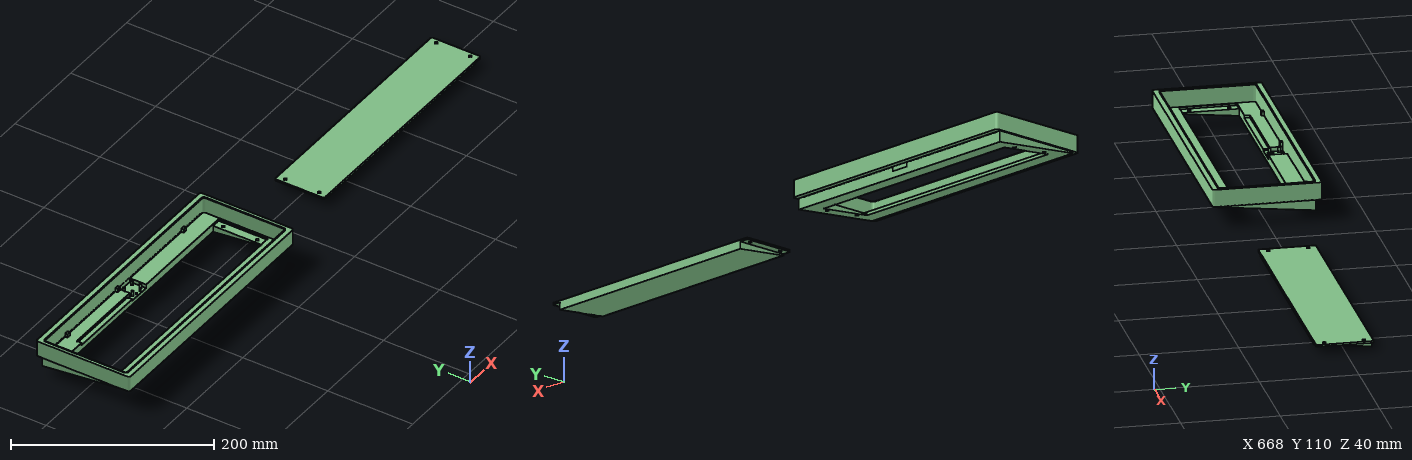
import cadquery as cq
import math

tray_length = 294.0
tray_width = 110.0
wall_height = 18.0
corner_radius = 3.0

side_rim = 4.0
long_rim = 6.0
rim_step_width = 1.0
rim_step_depth = 0.3

wedge_slope = math.tan(math.radians(6))
wedge_front_depth = 1.5
wedge_side_inset = 2.0
wedge_end_inset = 6.0

opening_length = 260.5
opening_width = 58.0
ledge_length = 10.0
ledge_depth = 2.0

screw_hole_diameter = 3.0
screw_spacing_y = 40.0
screw_edge_distance = 5.5

tab_length = 5.0
tab_reach = 3.0
tab_height = 4.0
back_tab_xs = (44.0, 133.5, 252.0)
front_tab_xs = (57.0, 238.0)

pocket_left_x = 137.0
pocket_right_x = 157.5
pocket_depth = 4.35
recess_left_x = 133.0
channel_left_x = 42.0
channel_back_y = 35.0
channel_depth = 3.0

peg_diameter = 2.5
peg_height = 5.5
peg_spacing_x = 15.0
peg_spacing_y = 10.0
peg_centre_y = 39.0
pin_diameter = 1.6
pin_height = 1.5
pin_spacing_x = 6.3
pin_y = 31.5

cover_right_x = 668.0
overall_height = 40.0
cover_corner_radius = 2.0

tray_centre_x = tray_length / 2
side_wall = side_rim + rim_step_width
long_wall = long_rim + rim_step_width
inner_wall_y = tray_width / 2 - long_wall
wedge_length = tray_length - 2 * wedge_side_inset
wedge_end_y = tray_width / 2 - wedge_end_inset
cover_front_thickness = wedge_front_depth + (wedge_end_y - opening_width / 2) * wedge_slope
cover_back_thickness = cover_front_thickness + opening_width * wedge_slope
cover_top_z = wall_height - overall_height + cover_back_thickness
cover_length = opening_length + 2 * ledge_length
cover_centre_x = cover_right_x - cover_length / 2
pocket_centre_x = (pocket_left_x + pocket_right_x) / 2
drill_length = 3 * wall_height


def plate(centre_x, length, width, bottom, height, radius=0):
    """Level plate centred on Y = 0, with its upright corners rounded if a radius is given."""
    body = cq.Workplane("XY", origin=(centre_x, 0, bottom)).rect(length, width).extrude(height)
    if radius:
        body = body.edges("|Z").fillet(radius)
    return body


def block(x_range, y_range, z_range):
    """Axis-aligned block between pairs of limits."""
    size = [high - low for low, high in (x_range, y_range, z_range)]
    corner = (x_range[0], y_range[0], z_range[0])
    return cq.Workplane("XY").box(*size, centered=False).translate(corner)


def wedge(centre_x, length, half_width, top, front_depth):
    """Prism along X with a level top and an underside that slopes down towards +Y."""
    back_depth = front_depth + 2 * half_width * wedge_slope
    profile = [
        (-half_width, top),
        (half_width, top),
        (half_width, top - back_depth),
        (-half_width, top - front_depth),
    ]
    start = cq.Workplane("YZ", origin=(centre_x - length / 2, 0, 0))
    return start.polyline(profile).close().extrude(length)


def screw_drills(centre_x):
    """Four upright drills on the screw pattern."""
    return (
        cq.Workplane("XY", origin=(centre_x, 0, 0))
        .rect(cover_length - 2 * screw_edge_distance, screw_spacing_y, forConstruction=True)
        .vertices()
        .circle(screw_hole_diameter / 2)
        .extrude(drill_length, both=True)
    )


def tray_interior(widening, bottom):
    """Space inside the walls from a level upwards, widened on all four sides."""
    length = tray_length - 2 * (side_wall - widening)
    width = tray_width - 2 * (long_wall - widening)
    return plate(tray_centre_x, length, width, bottom, wall_height, corner_radius)


def floor_opening():
    """Through opening together with the lowered ledges at its ends."""
    through = plate(tray_centre_x, opening_length, opening_width, -drill_length / 2, drill_length)
    ledges = plate(tray_centre_x, cover_length, opening_width, -ledge_depth, ledge_depth)
    return through.union(ledges)


def wall_tabs():
    """Tabs along the back wall and the front wall."""
    places = [(x, inner_wall_y - tab_reach) for x in back_tab_xs]
    places += [(x, -inner_wall_y) for x in front_tab_xs]
    tabs = cq.Workplane("XY")
    for x, front_y in places:
        x_range = (x - tab_length / 2, x + tab_length / 2)
        tabs = tabs.add(block(x_range, (front_y, front_y + tab_reach), (0, tab_height)))
    return tabs.combine()


def floor_pocket():
    """Pocket, side recess and channel, all open to the floor opening."""
    pocket = block((pocket_left_x, pocket_right_x), (0, inner_wall_y), (-pocket_depth, 0))
    recess = block((recess_left_x, pocket_left_x), (0, channel_back_y), (-pocket_depth, 0))
    channel = block((channel_left_x, recess_left_x), (0, channel_back_y), (-channel_depth, 0))
    return pocket.union(recess).union(channel)


def pocket_pegs():
    """Corner pegs and small pins on the pocket floor."""
    pegs = (
        cq.Workplane("XY", origin=(pocket_centre_x, peg_centre_y, -pocket_depth))
        .rect(peg_spacing_x, peg_spacing_y, forConstruction=True)
        .vertices()
        .circle(peg_diameter / 2)
        .extrude(peg_height)
    )
    pins = (
        cq.Workplane("XY", origin=(pocket_centre_x, pin_y, -pocket_depth))
        .pushPoints([(-pin_spacing_x / 2, 0), (pin_spacing_x / 2, 0)])
        .circle(pin_diameter / 2)
        .extrude(pin_height)
    )
    return pegs.union(pins)


def make_tray():
    body = plate(tray_centre_x, tray_length, tray_width, 0, wall_height, corner_radius)
    body = body.cut(tray_interior(0, 0))
    body = body.cut(tray_interior(rim_step_width, wall_height - rim_step_depth))
    body = body.union(wedge(tray_centre_x, wedge_length, wedge_end_y, 0, wedge_front_depth))
    body = body.cut(floor_opening())
    body = body.cut(screw_drills(tray_centre_x))
    body = body.union(wall_tabs())
    return body.cut(floor_pocket()).union(pocket_pegs())


def make_cover():
    flange_bottom = cover_top_z - ledge_depth
    flange = plate(
        cover_centre_x, cover_length, opening_width, flange_bottom, ledge_depth, cover_corner_radius
    )
    core = wedge(
        cover_centre_x, opening_length, opening_width / 2, cover_top_z, cover_front_thickness
    )
    return flange.union(core).cut(screw_drills(cover_centre_x))


tray = make_tray()
cover = make_cover()
result = cq.Compound.makeCompound([*tray.solids().vals(), *cover.solids().vals()])